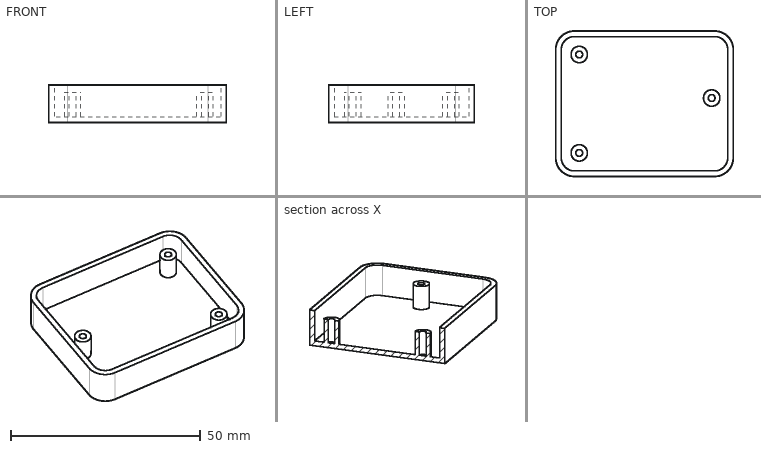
import cadquery as cq

length = 47.0
width = 38.5
height = 10.0
wall = 1.5
floor = 1.5
corner_radius = 5.0

post_diameter = 4.34
post_height = 6.5
pilot_diameter = 1.8
post_spacing_x = 35.0
post_spacing_y = 26.0
left_posts_x = -17.25
right_post_x = left_posts_x + post_spacing_x
right_post_y = 1.5
post_centers = [
    (left_posts_x, post_spacing_y / 2),
    (left_posts_x, -post_spacing_y / 2),
    (right_post_x, right_post_y),
]


def rounded_block(size_x, size_y, size_z, radius, bottom):
    """Upright block with rounded vertical edges, centred on the Z axis."""
    plane = cq.Workplane("XY").workplane(offset=bottom)
    block = plane.rect(size_x, size_y).extrude(size_z)
    return block.edges("|Z").fillet(radius)


def make_tray():
    """Outer block hollowed from the top, leaving the floor and an even wall."""
    outer = rounded_block(length, width, height, corner_radius, 0)
    cavity = rounded_block(
        length - 2 * wall,
        width - 2 * wall,
        height - floor,
        corner_radius - wall,
        floor,
    )
    return outer.cut(cavity)


def post_cylinders(diameter):
    """Cylinders at every post centre, from the floor up to the post tops."""
    plane = cq.Workplane("XY").workplane(offset=floor)
    return plane.pushPoints(post_centers).circle(diameter / 2).extrude(post_height)


posts = post_cylinders(post_diameter)
pilot_holes = post_cylinders(pilot_diameter)

result = make_tray().union(posts).cut(pilot_holes)